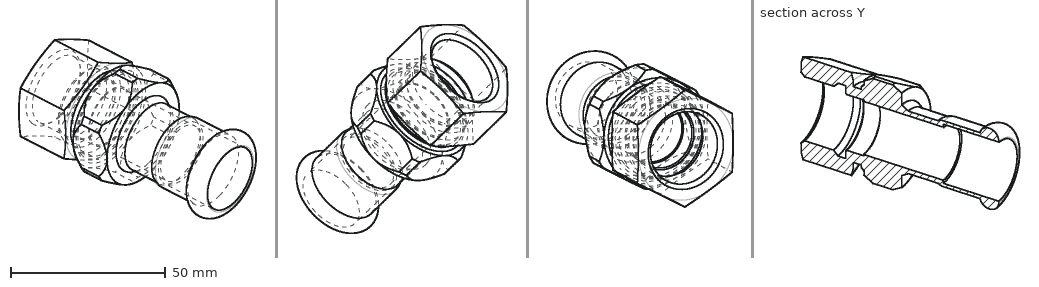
import cadquery as cq
import math

TOTAL_LENGTH = 75.5

HEX_HALF_ANGLE = 180 / 6

END_HEX_FLATS = 34.0
END_HEX_LENGTH = 20.0
END_HEX_CHAMFER_ANGLE = 15.0
NECK_DIAMETER = 29.0

NUT_START = 24.0
NUT_LENGTH = 14.5
NUT_FLATS = 36.0
NUT_CORNER_DIAMETER = 40.0
NUT_CHAMFER_ANGLE = 60.0
COLLAR_LENGTH = 1.0
COLLAR_BASE_DIAMETER = 32.8
SHOULDER_DIAMETER = 27.0
SHOULDER_LENGTH = 2.5

TAIL_DIAMETER = 24.0
SLEEVE_DIAMETER = 25.3
SLEEVE_START = 52.4
SLEEVE_ROUND_LENGTH = 2.0
BEAD_DIAMETER = 30.9
BEAD_RADIUS = 3.7

SOCKET_MOUTH_DIAMETER = 27.0
SOCKET_DIAMETER = 24.12
SOCKET_LENGTH = 12.5
RELIEF_TAPER_ANGLE = 45.0
RELIEF_DIAMETER = 27.5
SEAT_DEPTH = 17.0
PASSAGE_DIAMETER = 21.0
PASSAGE_CHAMFER = 0.5
TAIL_BORE_DIAMETER = 20.0
SLEEVE_BORE_DIAMETER = 22.3

NUT_END = NUT_START + NUT_LENGTH


def revolve_profile(profile):
    """Revolve a closed (axial, radial) outline about the X axis."""
    return profile.close().revolve(360, (0, 0, 0), (1, 0, 0))


def corner_width(flats):
    """Width across the corners of a hexagon of the given width across flats."""
    return flats / math.cos(math.radians(HEX_HALF_ANGLE))


def chamfered_hexagon(start, length, flats, corner_diameter, chamfer_angle):
    """Hexagonal prism with corners on Z, turned down to a corner diameter and coned at both ends."""
    across_corners = corner_width(flats)
    prism = (
        cq.Workplane("YZ")
        .workplane(offset=start)
        .polygon(6, across_corners)
        .extrude(length)
        .rotate((0, 0, 0), (1, 0, 0), 90)
    )
    end = start + length
    face_radius = flats / 2
    corner_radius = corner_diameter / 2
    cone_length = (corner_radius - face_radius) * math.tan(math.radians(chamfer_angle))
    envelope = revolve_profile(
        cq.Workplane("XY")
        .moveTo(start, 0)
        .lineTo(start, face_radius)
        .lineTo(start + cone_length, corner_radius)
        .lineTo(end - cone_length, corner_radius)
        .lineTo(end, face_radius)
        .lineTo(end, 0)
    )
    return prism.intersect(envelope)


def end_hexagon():
    """Hexagonal end piece whose chamfer just reaches its full corners."""
    full_corners = corner_width(END_HEX_FLATS)
    return chamfered_hexagon(0, END_HEX_LENGTH, END_HEX_FLATS, full_corners, END_HEX_CHAMFER_ANGLE)


def union_nut():
    """Union nut with truncated corners."""
    return chamfered_hexagon(NUT_START, NUT_LENGTH, NUT_FLATS, NUT_CORNER_DIAMETER, NUT_CHAMFER_ANGLE)


def turned_body():
    """Neck, nut collar, conical shoulder, tail tube, sleeve and rounded bead as one turned shape."""
    collar_radius = COLLAR_BASE_DIAMETER / 2
    tail_radius = TAIL_DIAMETER / 2
    sleeve_radius = SLEEVE_DIAMETER / 2
    sleeve_step = sleeve_radius - tail_radius
    round_end = SLEEVE_START + SLEEVE_ROUND_LENGTH
    round_radius = (SLEEVE_ROUND_LENGTH**2 + sleeve_step**2) / (2 * sleeve_step)
    bead_axis_x = TOTAL_LENGTH - BEAD_RADIUS
    bead_axis_radius = BEAD_DIAMETER / 2 - BEAD_RADIUS
    bead_rise = sleeve_radius - bead_axis_radius
    bead_start = bead_axis_x - math.sqrt(BEAD_RADIUS**2 - bead_rise**2)
    neck_start = END_HEX_LENGTH / 2
    return revolve_profile(
        cq.Workplane("XY")
        .moveTo(neck_start, 0)
        .lineTo(neck_start, NECK_DIAMETER / 2)
        .lineTo(NUT_START - COLLAR_LENGTH, NECK_DIAMETER / 2)
        .lineTo(NUT_START - COLLAR_LENGTH, collar_radius - COLLAR_LENGTH)
        .lineTo(NUT_START, collar_radius)
        .lineTo(NUT_END, collar_radius)
        .lineTo(NUT_END, SHOULDER_DIAMETER / 2)
        .lineTo(NUT_END + SHOULDER_LENGTH, tail_radius)
        .lineTo(SLEEVE_START, tail_radius)
        .radiusArc((round_end, sleeve_radius), round_radius)
        .lineTo(bead_start, sleeve_radius)
        .threePointArc((bead_axis_x, BEAD_DIAMETER / 2), (TOTAL_LENGTH, bead_axis_radius))
        .lineTo(TOTAL_LENGTH, 0)
    )


def bore():
    """Stepped through-bore: chamfered socket, relief groove, passage, tail bore and sleeve bore."""
    mouth_radius = SOCKET_MOUTH_DIAMETER / 2
    socket_radius = SOCKET_DIAMETER / 2
    relief_radius = RELIEF_DIAMETER / 2
    relief_taper_length = (relief_radius - socket_radius) / math.tan(math.radians(RELIEF_TAPER_ANGLE))
    passage_radius = PASSAGE_DIAMETER / 2
    tail_bore_radius = TAIL_BORE_DIAMETER / 2
    sleeve_bore_radius = SLEEVE_BORE_DIAMETER / 2
    mouth_chamfer = mouth_radius - socket_radius
    sleeve_bore_start = SLEEVE_START + SLEEVE_ROUND_LENGTH
    return revolve_profile(
        cq.Workplane("XY")
        .moveTo(0, 0)
        .lineTo(0, mouth_radius)
        .lineTo(mouth_chamfer, socket_radius)
        .lineTo(SOCKET_LENGTH, socket_radius)
        .lineTo(SOCKET_LENGTH + relief_taper_length, relief_radius)
        .lineTo(SEAT_DEPTH, relief_radius)
        .lineTo(SEAT_DEPTH, passage_radius + PASSAGE_CHAMFER)
        .lineTo(SEAT_DEPTH + PASSAGE_CHAMFER, passage_radius)
        .lineTo(NUT_START, passage_radius)
        .lineTo(NUT_START, tail_bore_radius)
        .lineTo(sleeve_bore_start, tail_bore_radius)
        .lineTo(sleeve_bore_start, sleeve_bore_radius)
        .lineTo(TOTAL_LENGTH, sleeve_bore_radius)
        .lineTo(TOTAL_LENGTH, 0)
    )


result = turned_body().union(end_hexagon()).union(union_nut()).cut(bore())